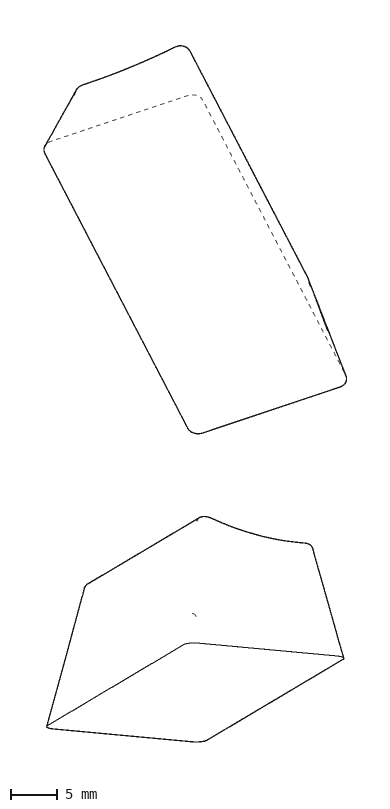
import cadquery as cq

length = 42.1
depth = 18.3
block_height = 18.95

end_lean = 0.24
front_lean = 0.19
back_lean = 0.2

dish_radius = 26.95
dish_low_y = -5.05
dish_low_z = 13.0

corner_radius = 1.25
rim_radius = 0.65


def cap_blank():
    """Block with four leaning walls and rounded wall corners."""
    top_length = length - 2 * end_lean * block_height
    top_front = -depth / 2 + front_lean * block_height
    top_back = depth / 2 - back_lean * block_height
    blank = (
        cq.Workplane("XY")
        .rect(length, depth)
        .workplane(offset=block_height)
        .center(0, (top_front + top_back) / 2)
        .rect(top_length, top_back - top_front)
        .loft(ruled=True)
    )
    return blank.edges("not(#Z)").fillet(corner_radius)


def dish_cutter():
    """Cylinder that hollows the top along the full length."""
    return (
        cq.Workplane("YZ")
        .center(dish_low_y, dish_low_z + dish_radius)
        .circle(dish_radius)
        .extrude(length, both=True)
    )


dished = cap_blank().cut(dish_cutter())
dish_face = dished.faces(cq.NearestToPointSelector((0, 0, dish_low_z)))
result = dish_face.edges().fillet(rim_radius)